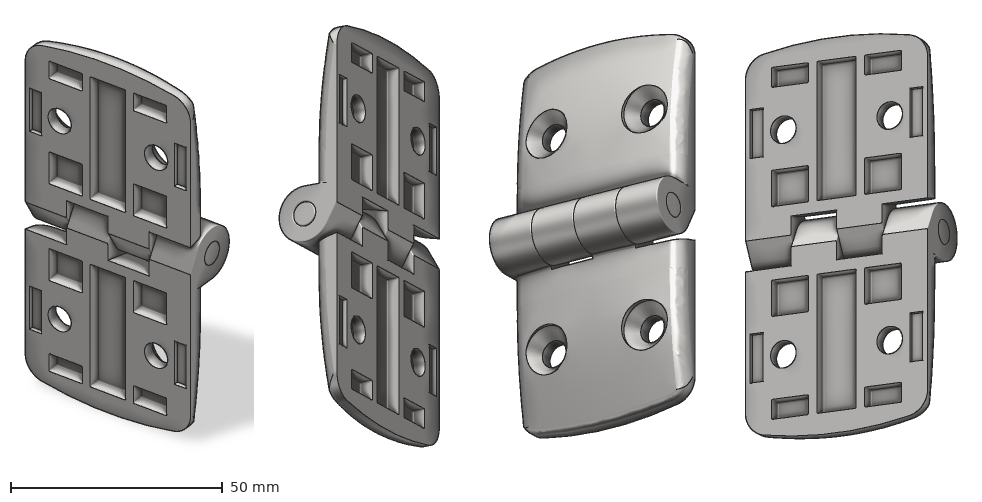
import cadquery as cq
import math


width = 48.0
half_width = width / 2
leaf_end = 48.5
back_y = -8.9
crown_y = -1.15
crown_radius = 160.0
crown_bend_z = 14.5
end_arc_radius = 100.0
corner_radius = 6.0
side_round = 3.4
end_round = 1.5

knuckle_radius = 7.0
knuckle_count = 4
knuckle_length = width / knuckle_count
knuckle_starts = [-half_width + 2 * i * knuckle_length for i in range(knuckle_count // 2)]
flank_angle = math.radians(30)
knuckle_edge_round = 0.25
root_round = 0.7

notch_back_z = 6.1
notch_slope = math.tan(math.radians(13))

pin_radius = 3.0
pin_edge_round = 0.3

screw_x = 14.0
screw_z = 27.5
screw_hole_diameter = 6.7
screw_head_diameter = 12.4
countersink_start = 3.2

pocket_depth = 3.3
pocket_corner_round = 0.4
pocket_floor_round = 0.4
pocket_top_z = 43.1
pocket_bottom_z = 9.0
center_pocket_width = 10.3
side_pocket_width = 9.7
side_pocket_x = 12.25
upper_pocket_height = 4.9
lower_pocket_height = 8.9
slot_width = 3.4
slot_height = 12.0
slot_x = 21.0
slot_depth = 1.2

overlap = 5.0
selection_margin = 0.01


def crown():
    """Barrel-shaped block whose +Y skin is the crowned outer face."""
    arc_middle = crown_radius * math.sqrt(0.5)
    dome = (
        cq.Workplane("XZ")
        .moveTo(0, -overlap)
        .lineTo(crown_radius, -overlap)
        .lineTo(crown_radius, crown_bend_z)
        .threePointArc((arc_middle, crown_bend_z + arc_middle), (0, crown_bend_z + crown_radius))
        .close()
        .revolve(360, (0, 0), (0, 1))
        .rotate((0, 0, 0), (0, 0, 1), -90)
    )
    return dome.translate((0, crown_y - crown_radius, 0))


def plate_outline():
    """Leaf outline with a curved end and rounded corners, as a prism from the mounting face."""
    shoulder_z = leaf_end - end_arc_radius + math.sqrt(end_arc_radius**2 - half_width**2)
    return (
        cq.Workplane("XZ", origin=(0, back_y, 0))
        .moveTo(-half_width, notch_back_z)
        .lineTo(-half_width, shoulder_z)
        .threePointArc((0, leaf_end), (half_width, shoulder_z))
        .lineTo(half_width, notch_back_z)
        .close()
        .extrude(back_y)
        .edges("|Y")
        .edges(">Z")
        .fillet(corner_radius)
    )


def crowned_plate():
    """Plate with small rounds around the end and larger rounds along the long sides."""
    skin = crown()
    plate = plate_outline().intersect(skin)
    end_edge = cq.selectors.NearestToPointSelector((0, crown_y, leaf_end))
    plate = plate.edges(end_edge).fillet(end_round)
    blank = (
        cq.Workplane("XY")
        .box(width, -back_y, leaf_end + overlap, centered=(True, False, False))
        .translate((0, back_y, 0))
    )
    side_trim = blank.intersect(skin)
    for side_x in (-half_width, half_width):
        side_edge = cq.selectors.NearestToPointSelector((side_x, crown_y, crown_bend_z / 2))
        side_trim = side_trim.edges(side_edge).fillet(side_round)
    return plate.intersect(side_trim)


def knuckle(start_x):
    """One knuckle of the upper leaf: round barrel, slanted flank and flange back to the mounting face."""
    flank_y = -knuckle_radius * math.cos(flank_angle)
    flank_z = -knuckle_radius * math.sin(flank_angle)
    flank_back_z = flank_z + (flank_y - back_y) / math.tan(flank_angle)
    return (
        cq.Workplane("YZ", origin=(start_x, 0, 0))
        .moveTo(0, knuckle_radius)
        .threePointArc((-flank_y, flank_z), (flank_y, flank_z))
        .lineTo(back_y, flank_back_z)
        .lineTo(back_y, knuckle_radius)
        .close()
        .extrude(knuckle_length)
        .faces("<X or >X")
        .edges("not <Y")
        .fillet(knuckle_edge_round)
    )


def notch(start_x):
    """Clearance in the upper leaf for a knuckle of the lower leaf, with a sloping top."""
    rise = -back_y * notch_slope
    return (
        cq.Workplane("YZ", origin=(start_x, 0, 0))
        .polyline([(back_y, 0), (back_y, notch_back_z), (0, notch_back_z + rise), (0, 0)])
        .close()
        .extrude(knuckle_length)
    )


def pocket(center_x, bottom_z, pocket_width, pocket_height):
    """Cutter for a rounded rectangular pocket in the mounting face."""
    return (
        cq.Workplane("XY")
        .box(pocket_width, pocket_depth, pocket_height, centered=(True, False, False))
        .edges("|Y")
        .fillet(pocket_corner_round)
        .faces(">Y")
        .edges()
        .fillet(pocket_floor_round)
        .translate((center_x, back_y, bottom_z))
    )


def slot(center_x):
    """Cutter for a shallow sharp-cornered slot beside a screw hole."""
    return (
        cq.Workplane("XY")
        .box(slot_width, slot_depth, slot_height, centered=(True, False, True))
        .translate((center_x, back_y, screw_z))
    )


def screw_hole(center_x):
    """Cutter for a through hole with a 90 degree countersink opening toward +Y."""
    bore_radius = screw_hole_diameter / 2
    head_radius = screw_head_diameter / 2
    sink_end = countersink_start + head_radius - bore_radius
    return (
        cq.Workplane("XY")
        .polyline([
            (0, 0),
            (bore_radius, 0),
            (bore_radius, countersink_start),
            (head_radius, sink_end),
            (head_radius, -back_y),
            (0, -back_y),
        ])
        .close()
        .revolve(360, (0, 0), (0, 1))
        .translate((center_x, back_y, screw_z))
    )


def round_knuckle_root(body, start_x):
    """Fill the inside corner where the top of a knuckle meets the crowned face."""
    corner_zone = cq.selectors.BoxSelector(
        (start_x, back_y, knuckle_radius - selection_margin),
        (start_x + knuckle_length - knuckle_edge_round, crown_y / 2, knuckle_radius + selection_margin),
    )
    return body.edges(corner_zone).edges("%CIRCLE").fillet(root_round)


def cut_pin_hole(body):
    """Bore the hinge axis over the full width and round its mouth on the outer side face."""
    bore = cq.Workplane("YZ", origin=(-half_width, 0, 0)).circle(pin_radius).extrude(width)
    mouth = cq.selectors.NearestToPointSelector((-half_width, 0, 0))
    return body.cut(bore).edges("%CIRCLE").edges(mouth).fillet(pin_edge_round)


def leaf():
    """Upper leaf: plate, its knuckles, and everything cut from them."""
    body = crowned_plate()
    for start_x in knuckle_starts:
        body = body.cut(notch(start_x + knuckle_length))
        body = body.union(knuckle(start_x))
    for start_x in knuckle_starts:
        body = round_knuckle_root(body, start_x)
    upper_pocket_bottom_z = pocket_top_z - upper_pocket_height
    body = body.cut(pocket(0, pocket_bottom_z, center_pocket_width, pocket_top_z - pocket_bottom_z))
    for side in (-1, 1):
        pocket_x = side * side_pocket_x
        body = body.cut(pocket(pocket_x, pocket_bottom_z, side_pocket_width, lower_pocket_height))
        body = body.cut(pocket(pocket_x, upper_pocket_bottom_z, side_pocket_width, upper_pocket_height))
        body = body.cut(slot(side * slot_x))
        body = body.cut(screw_hole(side * screw_x))
    return cut_pin_hole(body)


def pin():
    """Hinge pin with rounded ends, flush with the leaf sides."""
    blank = cq.Workplane("YZ", origin=(-half_width, 0, 0)).circle(pin_radius).extrude(width)
    return blank.faces("<X or >X").edges().fillet(pin_edge_round)


upper_leaf = leaf()
lower_leaf = upper_leaf.rotate((0, 0, 0), (0, 1, 0), 180)
hinge_pin = pin()

bodies = [upper_leaf, lower_leaf, hinge_pin]
result = cq.Compound.makeCompound([body.solids().val() for body in bodies])